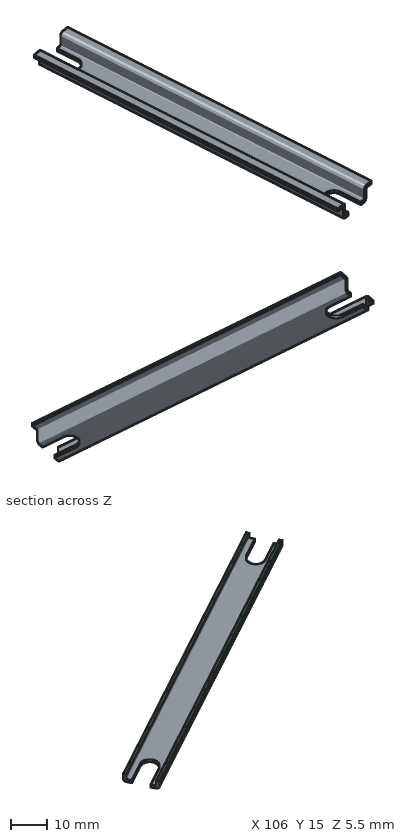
import cadquery as cq

LENGTH = 106.0
WIDTH = 15.0
HEIGHT = 5.5

SHEET = 1.0
CHANNEL_WIDTH = 10.5
INNER_BEND_RADIUS = 0.2
OUTER_BEND_RADIUS = 1.0

SLOT_WIDTH = 5.5
SLOT_DEPTH = 10.0

HALF_LENGTH = LENGTH / 2
FLANGE_EDGE = WIDTH / 2
WALL_OUTER = CHANNEL_WIDTH / 2
WALL_INNER = WALL_OUTER - SHEET
FLANGE_UNDERSIDE = HEIGHT - SHEET


def hat_rail():
    """Extrude the sharp hat section along X, then round its four bends."""
    half_section = [
        (WALL_OUTER, 0),
        (WALL_OUTER, FLANGE_UNDERSIDE),
        (FLANGE_EDGE, FLANGE_UNDERSIDE),
        (FLANGE_EDGE, HEIGHT),
        (WALL_INNER, HEIGHT),
        (WALL_INNER, SHEET),
    ]
    mirrored_half = [(-y, z) for y, z in reversed(half_section)]
    rail = (
        cq.Workplane("YZ")
        .polyline(half_section + mirrored_half)
        .close()
        .extrude(HALF_LENGTH, both=True)
    )

    inside_corners = [(WALL_OUTER, FLANGE_UNDERSIDE), (WALL_INNER, SHEET)]
    outside_corners = [(WALL_INNER, HEIGHT), (WALL_OUTER, 0)]
    rail = round_bends(rail, inside_corners, INNER_BEND_RADIUS)
    return round_bends(rail, outside_corners, OUTER_BEND_RADIUS)


def round_bends(rail, corners, radius):
    """Fillet the lengthwise edges at the given (y, z) corners on both sides."""
    for y, z in corners:
        for side in (-1, 1):
            edge = cq.selectors.NearestToPointSelector((0, side * y, z))
            rail = rail.edges("|X").edges(edge).fillet(radius)
    return rail


def end_slot(end):
    """Round-bottomed slot cutter, open at the rail end on the given side of X."""
    radius = SLOT_WIDTH / 2
    arc_start = end * (HALF_LENGTH - SLOT_DEPTH + radius)
    slot_bottom = end * (HALF_LENGTH - SLOT_DEPTH)
    rail_end = end * HALF_LENGTH
    return (
        cq.Workplane("XY")
        .moveTo(rail_end, -radius)
        .lineTo(arc_start, -radius)
        .threePointArc((slot_bottom, 0), (arc_start, radius))
        .lineTo(rail_end, radius)
        .close()
        .extrude(SHEET)
    )


result = hat_rail()
for end in (-1, 1):
    result = result.cut(end_slot(end))